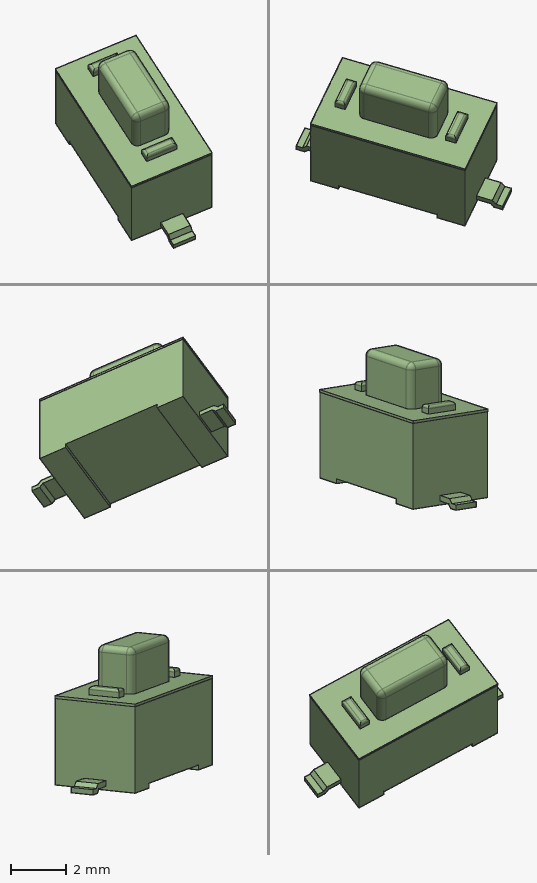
import cadquery as cq

cover_length = 6.0
cover_width = 3.3
cover_thickness = 0.1
cover_overhang = 0.01
housing_length = cover_length - 2 * cover_overhang
housing_width = cover_width - 2 * cover_overhang
housing_height = 3.2
cover_top = housing_height + cover_thickness

foot_length = 1.08
relief_height = 0.18

button_length = 3.0
button_width = 1.5
button_top = 5.0
button_round = 0.25

bar_thickness = 0.4
bar_height = 0.3
bar_round = 0.1
bar_end_y = 0.59
left_bar_x = -2.25
left_bar_length = 1.18
right_bar_x = 2.06
right_bar_length = 1.23

terminal_span = 8.0
terminal_width = 0.9
terminal_foot_thickness = 0.2
terminal_shelf_bottom = 0.15
terminal_shelf_top = 0.36
terminal_foot_top_end = 3.75
terminal_shelf_top_end = 3.6
terminal_foot_bottom_end = 3.67
terminal_shelf_bottom_end = 3.53


def box_on(x, y, z, length, width, height):
    """Box centred on (x, y) with its underside at z."""
    return cq.Workplane("XY").box(length, width, height, centered=(True, True, False)).translate((x, y, z))


def make_housing():
    housing = box_on(0, 0, 0, housing_length, housing_width, housing_height)
    relief_length = housing_length - 2 * foot_length
    return housing.cut(box_on(0, 0, 0, relief_length, housing_width, relief_height))


def make_cover():
    return box_on(0, 0, housing_height, cover_length, cover_width, cover_thickness)


def make_button():
    button = box_on(0, 0, cover_top, button_length, button_width, button_top - cover_top)
    return button.edges("|Z or >Z").fillet(button_round)


def make_bar(x, length):
    """Bar across the cover; both bars start level at the +Y end."""
    bar = box_on(x, bar_end_y - length / 2, cover_top, bar_thickness, length, bar_height)
    return bar.faces(">Z").edges().fillet(bar_round)


def make_terminal():
    """Terminal on the +X end: a shelf at the housing wall stepping down to a flat foot."""
    wall_x = housing_length / 2
    tip_x = terminal_span / 2
    outline = [
        (wall_x, terminal_shelf_bottom),
        (terminal_shelf_bottom_end, terminal_shelf_bottom),
        (terminal_foot_bottom_end, 0),
        (tip_x, 0),
        (tip_x, terminal_foot_thickness),
        (terminal_foot_top_end, terminal_foot_thickness),
        (terminal_shelf_top_end, terminal_shelf_top),
        (wall_x, terminal_shelf_top),
    ]
    return cq.Workplane("XZ").polyline(outline).close().extrude(terminal_width / 2, both=True)


right_terminal = make_terminal()
left_terminal = right_terminal.mirror("YZ")

result = (
    make_housing()
    .union(make_cover())
    .union(make_button())
    .union(make_bar(left_bar_x, left_bar_length))
    .union(make_bar(right_bar_x, right_bar_length))
    .union(right_terminal)
    .union(left_terminal)
)